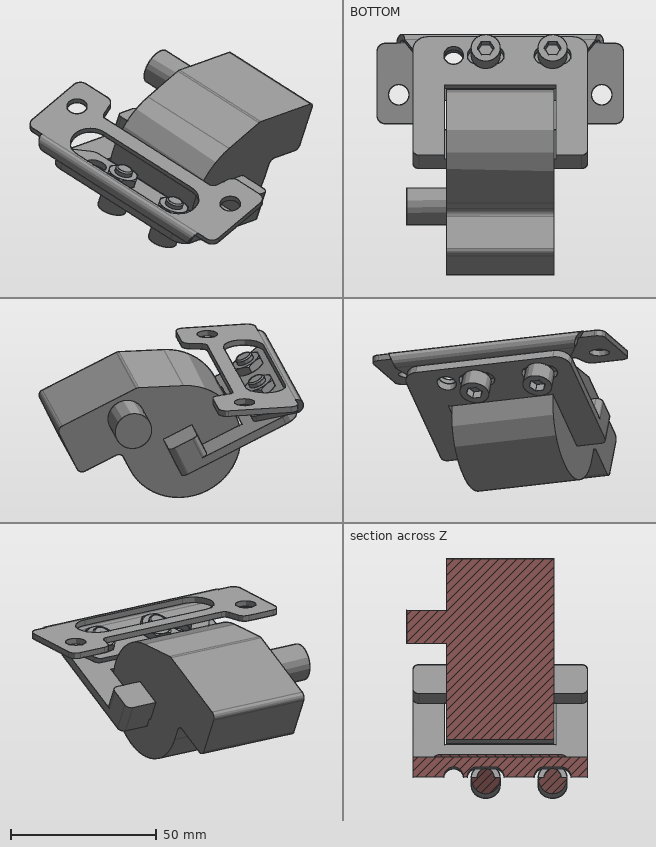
import cadquery as cq
import math

TILT = 25.0

BLOCK_WIDTH = 37.1
ROLLER_RADIUS = 20.5
HEAD_BOTTOM = 6.6
HEAD_TOP = 25.5
HEAD_END = 36.6
CROWN_SLOPE = 26.0
BLOCK_FILLET = 2.0

STUB_RADIUS = 6.4
STUB_END = -32.2
STUB_Y = 13.6
STUB_Z = 17.4

BAR_DEPTH = 11.05
BAR_HEIGHT = 8.0
BRACKET_WIDTH = 60.2
BRACKET_THICKNESS = 3.0
BRACKET_FRONT = -39.4
FORK_GAP = 0.6
FORK_CORNER = 2.0
BRACKET_CORNER = 5.0
BRACKET_TOP = -BAR_HEIGHT / 2
BRACKET_BOTTOM = BRACKET_TOP - BRACKET_THICKNESS
FORK_BACK = BAR_DEPTH / 2

HOLE_ROW_Y = -32.4
HOLE_DIAMETER = 7.0
BRACKET_HOLE_DIAMETER = 6.7
SPARE_HOLE_X = -16.1
SCREW_XS = (-5.0, 18.0)
SLOT_LENGTH = 12.7

SHEET = 2.0
BEND_INNER_RADIUS = 1.0
BEND_OUTER_RADIUS = BEND_INNER_RADIUS + SHEET
LEAF_LENGTH_X = 85.0
LEAF_TOP = 19.0
LEAF_BACK = -8.7
LEAF_CORNER = 3.0
NOTCH_Y = -16.7
NOTCH_HALF_WIDTH = 25.25
NOTCH_FLARE = 15.0
NOTCH_CORNER = 2.0
WINDOW_LENGTH = 54.1
WINDOW_WIDTH = 13.9
WINDOW_Y = -28.7
MOUNT_HOLE_X = 34.9
MOUNT_HOLE_Y = -18.7
MOUNT_HOLE_DIAMETER = 7.0
BEND_HALF_WIDTH_TOP = 35.6
BEND_HALF_WIDTH_BOTTOM = 32.9
BEND_SIDE_BOW = 0.3
TILTED_LEAF_BACK = -25.0
TILTED_LEAF_BACK_HALF_WIDTH = 22.3
TILTED_LEAF_CORNER = 3.0

SCREW_DIAMETER = 6.0
SCREW_TIP = 3.0
SCREW_TIP_CHAMFER = 0.5
SCREW_HEAD_DIAMETER = 10.0
SCREW_HEAD_HEIGHT = 6.0
SOCKET_FLATS = 5.0
SOCKET_DEPTH = 3.0
NUT_FLATS = 10.0
NUT_HEIGHT = 3.1
NUT_CHAMFER_ANGLE = 30.0
NUT_SEAT = BRACKET_TOP + SHEET

TILT_COS = math.cos(math.radians(TILT))
TILT_SIN = math.sin(math.radians(TILT))
BEND_Z = LEAF_TOP - BEND_OUTER_RADIUS
BEND_Y = (BRACKET_TOP + BEND_OUTER_RADIUS - BEND_Z * TILT_COS) / TILT_SIN

HEX_CORNERS_PER_FLATS = 1 / math.cos(math.radians(30))


def tilted(shape):
    return shape.rotate((0, 0, 0), (1, 0, 0), -TILT)


def slab(bottom, height, points):
    """A flat slab with the given XY outline."""
    return cq.Workplane("XY").workplane(offset=bottom).polyline(points).close().extrude(height)


def roller_block():
    normal = math.radians(90 + CROWN_SLOPE)
    tangent = (ROLLER_RADIUS * math.cos(normal), ROLLER_RADIUS * math.sin(normal))
    crown_y = (ROLLER_RADIUS - HEAD_TOP * math.sin(normal)) / math.cos(normal)
    block = (
        cq.Workplane("YZ").workplane(offset=-BLOCK_WIDTH / 2)
        .moveTo(ROLLER_RADIUS, 0)
        .lineTo(ROLLER_RADIUS, HEAD_BOTTOM)
        .lineTo(HEAD_END, HEAD_BOTTOM)
        .lineTo(HEAD_END, HEAD_TOP)
        .lineTo(crown_y, HEAD_TOP)
        .lineTo(*tangent)
        .threePointArc((0, -ROLLER_RADIUS), (ROLLER_RADIUS, 0))
        .close()
        .extrude(BLOCK_WIDTH)
    )
    fillet_points = [
        (ROLLER_RADIUS, HEAD_BOTTOM),
        (HEAD_END, HEAD_BOTTOM),
        (HEAD_END, HEAD_TOP),
        (crown_y, HEAD_TOP),
    ]
    for y, z in fillet_points:
        block = block.edges(cq.selectors.NearestToPointSelector((0, y, z))).fillet(BLOCK_FILLET)
    return block


def stub():
    return (
        cq.Workplane("YZ").workplane(offset=STUB_END)
        .center(STUB_Y, STUB_Z).circle(STUB_RADIUS).extrude(-STUB_END)
    )


def cross_bar():
    return cq.Workplane("XY").box(BRACKET_WIDTH, BAR_DEPTH, BAR_HEIGHT).edges("|Z").fillet(FORK_CORNER)


def bracket_plate():
    half = BRACKET_WIDTH / 2
    plate = slab(
        BRACKET_BOTTOM, BRACKET_THICKNESS,
        [(-half, BRACKET_FRONT), (half, BRACKET_FRONT), (half, FORK_BACK), (-half, FORK_BACK)],
    )
    plate = plate.edges("|Z and <Y").fillet(BRACKET_CORNER)
    plate = plate.edges("|Z and >Y").fillet(FORK_CORNER)

    fork_half = BLOCK_WIDTH / 2 + FORK_GAP
    fork_front = -ROLLER_RADIUS - FORK_GAP
    fork_opening = slab(
        BRACKET_BOTTOM, BRACKET_THICKNESS,
        [(-fork_half, fork_front), (fork_half, fork_front), (fork_half, FORK_BACK), (-fork_half, FORK_BACK)],
    )
    spare_hole = (
        cq.Workplane("XY").workplane(offset=BRACKET_BOTTOM)
        .center(SPARE_HOLE_X, HOLE_ROW_Y).circle(BRACKET_HOLE_DIAMETER / 2).extrude(BRACKET_THICKNESS)
    )
    slots = (
        cq.Workplane("XY").workplane(offset=BRACKET_BOTTOM)
        .pushPoints([(x, HOLE_ROW_Y) for x in SCREW_XS])
        .slot2D(SLOT_LENGTH, BRACKET_HOLE_DIAMETER).extrude(BRACKET_THICKNESS)
    )
    return plate.cut(fork_opening).cut(spare_hole).cut(slots)


def roller_bracket():
    """The block, its stub, the cross bar and the forked plate as one piece."""
    return tilted(bracket_plate().union(cross_bar()).union(roller_block()).union(stub()))


def level_leaf():
    half = LEAF_LENGTH_X / 2
    flare = (LEAF_BACK - NOTCH_Y) * math.tan(math.radians(NOTCH_FLARE))
    shoulder = NOTCH_HALF_WIDTH + flare
    leaf = slab(
        LEAF_TOP - SHEET, SHEET,
        [
            (-half, BEND_Y), (half, BEND_Y), (half, LEAF_BACK), (shoulder, LEAF_BACK),
            (NOTCH_HALF_WIDTH, NOTCH_Y), (-NOTCH_HALF_WIDTH, NOTCH_Y),
            (-shoulder, LEAF_BACK), (-half, LEAF_BACK),
        ],
    )
    leaf = leaf.edges("|Z and (<Y or >Y)").fillet(LEAF_CORNER)
    for x in (-NOTCH_HALF_WIDTH, NOTCH_HALF_WIDTH):
        notch_edge = cq.selectors.NearestToPointSelector((x, NOTCH_Y, LEAF_TOP - SHEET / 2))
        leaf = leaf.edges(notch_edge).fillet(NOTCH_CORNER)
    window = (
        cq.Workplane("XY").workplane(offset=LEAF_TOP - SHEET)
        .center(0, WINDOW_Y).slot2D(WINDOW_LENGTH, WINDOW_WIDTH).extrude(SHEET)
    )
    mount_holes = (
        cq.Workplane("XY").workplane(offset=LEAF_TOP - SHEET)
        .pushPoints([(-MOUNT_HOLE_X, MOUNT_HOLE_Y), (MOUNT_HOLE_X, MOUNT_HOLE_Y)])
        .circle(MOUNT_HOLE_DIAMETER / 2).extrude(SHEET)
    )
    return leaf.cut(window).cut(mount_holes)


def bend():
    """A bent strip from the level leaf round to the tilted leaf, narrowing on the way down."""
    bottom_angle = math.radians(90 - TILT)
    front_y = BEND_Y - BEND_OUTER_RADIUS
    bottom_z = BEND_Z - BEND_OUTER_RADIUS * math.sin(bottom_angle)
    middle_x = (BEND_HALF_WIDTH_TOP + BEND_HALF_WIDTH_BOTTOM) / 2 - BEND_SIDE_BOW
    middle_z = (LEAF_TOP + bottom_z) / 2

    def on_arc(radius, angle):
        return (BEND_Y - radius * math.cos(angle), BEND_Z + radius * math.sin(angle))

    strip = (
        cq.Workplane("YZ").workplane(offset=-BEND_HALF_WIDTH_TOP)
        .moveTo(BEND_Y, LEAF_TOP)
        .threePointArc(on_arc(BEND_OUTER_RADIUS, 0), on_arc(BEND_OUTER_RADIUS, -bottom_angle))
        .lineTo(*on_arc(BEND_INNER_RADIUS, -bottom_angle))
        .threePointArc(on_arc(BEND_INNER_RADIUS, 0), (BEND_Y, LEAF_TOP - SHEET))
        .close()
        .extrude(2 * BEND_HALF_WIDTH_TOP)
    )
    taper = (
        cq.Workplane("XZ", origin=(0, front_y, 0))
        .moveTo(-BEND_HALF_WIDTH_TOP, LEAF_TOP)
        .lineTo(BEND_HALF_WIDTH_TOP, LEAF_TOP)
        .threePointArc((middle_x, middle_z), (BEND_HALF_WIDTH_BOTTOM, bottom_z))
        .lineTo(-BEND_HALF_WIDTH_BOTTOM, bottom_z)
        .threePointArc((-middle_x, middle_z), (-BEND_HALF_WIDTH_TOP, LEAF_TOP))
        .close()
        .extrude(-2 * BEND_OUTER_RADIUS)
    )
    return strip.intersect(taper)


def tilted_leaf():
    leaf_front = BEND_Y * TILT_COS - BEND_Z * TILT_SIN
    leaf = slab(
        BRACKET_TOP, SHEET,
        [
            (-BEND_HALF_WIDTH_BOTTOM, leaf_front), (BEND_HALF_WIDTH_BOTTOM, leaf_front),
            (TILTED_LEAF_BACK_HALF_WIDTH, TILTED_LEAF_BACK),
            (-TILTED_LEAF_BACK_HALF_WIDTH, TILTED_LEAF_BACK),
        ],
    )
    leaf = leaf.edges("|Z and >Y").fillet(TILTED_LEAF_CORNER)
    holes = (
        cq.Workplane("XY").workplane(offset=BRACKET_TOP)
        .pushPoints([(x, HOLE_ROW_Y) for x in (SPARE_HOLE_X, *SCREW_XS)])
        .circle(HOLE_DIAMETER / 2).extrude(SHEET)
    )
    return tilted(leaf.cut(holes))


def mounting_plate():
    return level_leaf().union(bend()).union(tilted_leaf())


def screw(x):
    head_bottom = BRACKET_BOTTOM - SCREW_HEAD_HEIGHT
    head = (
        cq.Workplane("XY").workplane(offset=head_bottom)
        .circle(SCREW_HEAD_DIAMETER / 2).extrude(SCREW_HEAD_HEIGHT)
    )
    socket = (
        cq.Workplane("XY").workplane(offset=head_bottom)
        .polygon(6, SOCKET_FLATS * HEX_CORNERS_PER_FLATS).extrude(SOCKET_DEPTH)
    )
    shank = (
        cq.Workplane("XY").workplane(offset=BRACKET_BOTTOM)
        .circle(SCREW_DIAMETER / 2).extrude(SCREW_TIP - BRACKET_BOTTOM)
        .faces(">Z").chamfer(SCREW_TIP_CHAMFER)
    )
    return tilted(head.cut(socket).union(shank).translate((x, HOLE_ROW_Y, 0)))


def nut(x):
    corner_radius = NUT_FLATS * HEX_CORNERS_PER_FLATS / 2
    chamfer_width = corner_radius - NUT_FLATS / 2
    chamfer_drop = chamfer_width * math.tan(math.radians(NUT_CHAMFER_ANGLE))
    hexagon = cq.Workplane("XY").workplane(offset=NUT_SEAT).polygon(6, 2 * corner_radius).extrude(NUT_HEIGHT)
    chamfered_disc = (
        cq.Workplane("XY").workplane(offset=NUT_SEAT).circle(corner_radius).extrude(NUT_HEIGHT)
        .faces(">Z").chamfer(chamfer_drop, chamfer_width)
        .faces("<Z").chamfer(chamfer_drop, chamfer_width)
    )
    bore = cq.Workplane("XY").workplane(offset=NUT_SEAT).circle(SCREW_DIAMETER / 2).extrude(NUT_HEIGHT)
    return tilted(hexagon.intersect(chamfered_disc).cut(bore).translate((x, HOLE_ROW_Y, 0)))


bodies = [roller_bracket().solids().val(), mounting_plate().solids().val()]
for screw_x in SCREW_XS:
    bodies.append(screw(screw_x).solids().val())
    bodies.append(nut(screw_x).solids().val())

result = cq.Compound.makeCompound(bodies)